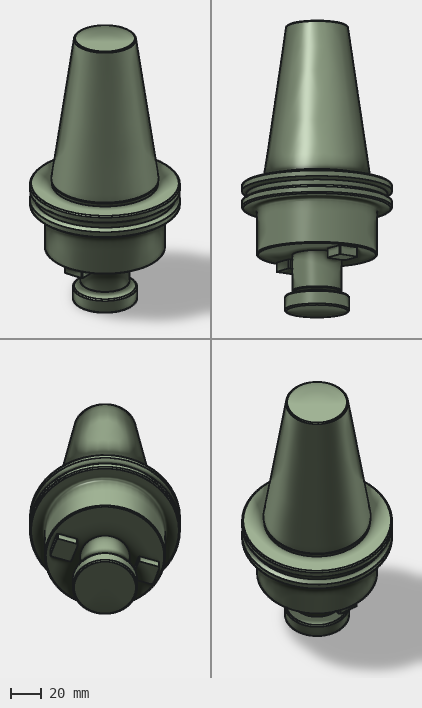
import cadquery as cq

total_height = 188.8

taper_length = 101.5
gauge_radius = 35.0
taper_ratio = 7 / 24 / 2
taper_tip_chamfer = 0.8
gauge_z = total_height - taper_length
taper_tip_radius = gauge_radius - taper_length * taper_ratio

relief_radius = 34.5
relief_height = 3.2
relief_cone_height = 1.1

flange_radius = 97.5 / 2
flange_height = 15.9
flange_chamfer = 1.0
groove_floor_radius = 45.9
groove_floor_width = 3.4
groove_mouth_width = 7.0
groove_center_drop = 8.0
flange_top = gauge_z - relief_height
flange_bottom = flange_top - flange_height
groove_z = flange_top - groove_center_drop

body_radius = 39.0
body_bottom = 37.2
body_chamfer = 0.8
body_fillet = 2.8

pilot_radius = 16.0
pilot_bottom = 12.8
pilot_chamfer = 0.5
neck_radius = 8.5
head_radius = 21.0
head_height = 10.0
head_chamfer = 1.0

key_size = 14.3
key_height = 6.0
key_chamfer = 0.8
key_center_offset = 28.0
key_embed = 3.8


def disc(radius, bottom, top):
    """Cylinder about Z between two heights."""
    return cq.Workplane("XY").workplane(offset=bottom).circle(radius).extrude(top - bottom)


def make_taper():
    """Tapered shank with its tip chamfer and the relief neck below it."""
    profile = [
        (0, flange_top),
        (relief_radius, flange_top),
        (relief_radius, gauge_z - relief_cone_height),
        (gauge_radius, gauge_z),
        (taper_tip_radius, total_height),
        (0, total_height),
    ]
    shank = cq.Workplane("XZ").polyline(profile).close().revolve(360, (0, 0), (0, 1))
    return shank.faces(">Z").edges().chamfer(taper_tip_chamfer)


def make_groove():
    """Ring with a trapezoid section that cuts the V groove."""
    profile = [
        (groove_floor_radius, groove_z - groove_floor_width / 2),
        (flange_radius, groove_z - groove_mouth_width / 2),
        (flange_radius, groove_z + groove_mouth_width / 2),
        (groove_floor_radius, groove_z + groove_floor_width / 2),
    ]
    return cq.Workplane("XZ").polyline(profile).close().revolve(360, (0, 0), (0, 1))


def make_flange_and_body():
    """Grooved flange blended into the cylindrical body by a fillet."""
    flange = disc(flange_radius, flange_bottom, flange_top).edges().chamfer(flange_chamfer)
    body = (
        cq.Workplane("XZ")
        .moveTo(0, body_bottom)
        .lineTo(body_radius - body_chamfer, body_bottom)
        .lineTo(body_radius, body_bottom + body_chamfer)
        .lineTo(body_radius, flange_bottom - body_fillet)
        .radiusArc((body_radius + body_fillet, flange_bottom), body_fillet)
        .lineTo(0, flange_bottom)
        .close()
        .revolve(360, (0, 0), (0, 1))
    )
    return flange.union(body).cut(make_groove())


def make_pilot_and_screw():
    """Pilot spigot carrying the screw neck and the chamfered screw head."""
    pilot = disc(pilot_radius, pilot_bottom, flange_bottom).faces("<Z").edges().chamfer(pilot_chamfer)
    neck = disc(neck_radius, 0, flange_bottom)
    head = disc(head_radius, 0, head_height).edges("%CIRCLE").chamfer(head_chamfer)
    return pilot.union(neck).union(head)


def make_key(side):
    """Square drive key on the +Y or -Y side, with chamfered upright edges."""
    return (
        cq.Workplane("XY")
        .workplane(offset=body_bottom - key_height)
        .center(0, side * key_center_offset)
        .rect(key_size, key_size)
        .extrude(key_height + key_embed)
        .edges("|Z")
        .chamfer(key_chamfer)
    )


result = make_taper().union(make_flange_and_body()).union(make_pilot_and_screw())
for side in (-1, 1):
    result = result.union(make_key(side))